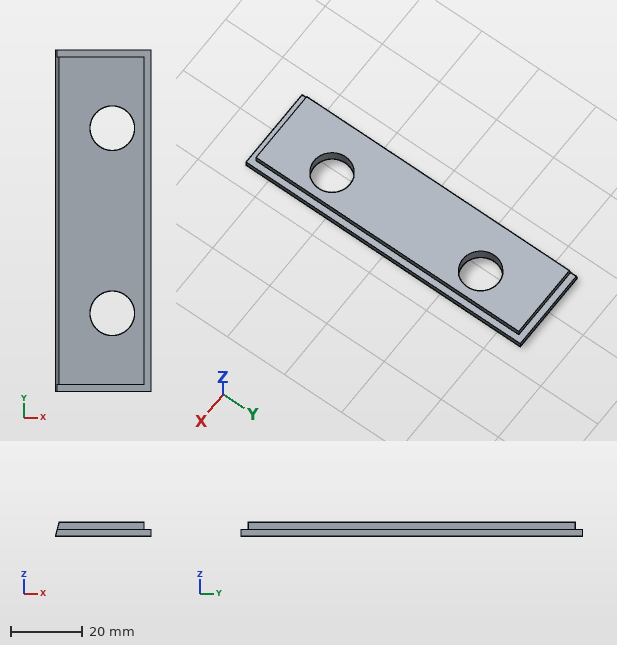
import cadquery as cq

length = 96.0
width = 27.0
thickness = 4.0

rim_width = 2.0
rim_thickness = 2.0

side_lean = 1.1

hole_diameter = 12.5
hole_spacing = 52.0
hole_offset = 16.0


def sloped_slab(bottom, top, right, slab_length):
    """Slab between two heights whose -X side follows the lean of the plate."""
    left_at_bottom = side_lean * bottom / thickness
    left_at_top = side_lean * top / thickness
    return (
        cq.Workplane("XZ")
        .moveTo(left_at_bottom, bottom)
        .lineTo(right, bottom)
        .lineTo(right, top)
        .lineTo(left_at_top, top)
        .close()
        .extrude(slab_length / 2, both=True)
    )


base = sloped_slab(0, rim_thickness, width, length)
raised = sloped_slab(rim_thickness, thickness, width - rim_width, length - 2 * rim_width)
plate = base.union(raised)

hole_centers = [(hole_offset, side * hole_spacing / 2) for side in (-1, 1)]
holes = (
    cq.Workplane("XY")
    .pushPoints(hole_centers)
    .circle(hole_diameter / 2)
    .extrude(thickness)
)

result = plate.cut(holes)